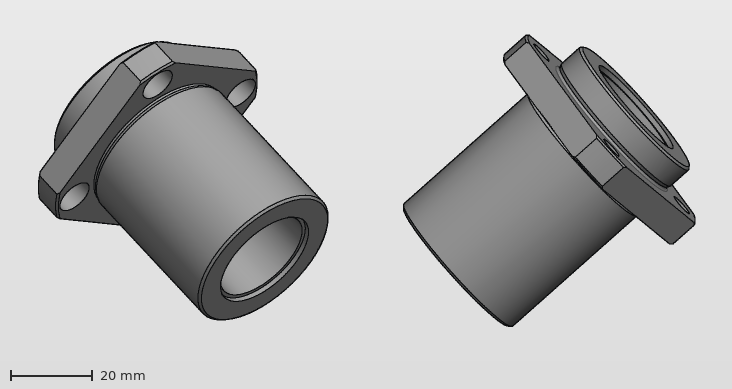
import cadquery as cq
import math

length = 59.0
body_radius = 40.0 / 2
end_chamfer = 0.6
bore_diameter = 25.0
bore_recess_diameter = 27.0
bore_recess_depth = 1.3

flange_start = 8.05
flange_thickness = 8.0
flange_end = flange_start + flange_thickness
flange_diameter = 61.9
flange_across_flats = 50.15
flange_chamfer = 0.5

groove_depth = 0.4
groove_floor_width = 0.7
groove_slope_width = 0.85
root_fillet = groove_floor_width
groove_width = groove_floor_width + groove_slope_width

hole_count = 4
hole_circle_radius = 25.5
hole_diameter = 5.5
counterbore_diameter = 9.0
counterbore_depth = 5.1


def cylinder(diameter, start, depth):
    """Cylinder along +X, centred on the X axis."""
    return cq.Workplane("YZ", origin=(start, 0, 0)).circle(diameter / 2).extrude(depth)


def make_body():
    floor_radius = body_radius - groove_depth
    profile = (
        cq.Workplane("XY")
        .moveTo(0, 0)
        .lineTo(0, body_radius - end_chamfer)
        .lineTo(end_chamfer, body_radius)
        .lineTo(flange_start - groove_width, body_radius)
        .lineTo(flange_start - groove_floor_width, floor_radius)
        .radiusArc((flange_start, floor_radius + root_fillet), -root_fillet)
        .lineTo(flange_end, floor_radius)
        .lineTo(flange_end + groove_floor_width, floor_radius)
        .lineTo(flange_end + groove_width, body_radius)
        .lineTo(length - end_chamfer, body_radius)
        .lineTo(length, body_radius - end_chamfer)
        .lineTo(length, 0)
        .close()
    )
    return profile.revolve(360, (0, 0, 0), (1, 0, 0))


def make_flange():
    disc = cylinder(flange_diameter, flange_start, flange_thickness).edges().chamfer(flange_chamfer)
    square = (
        cq.Workplane("YZ", origin=(flange_start, 0, 0))
        .transformed(rotate=(0, 0, 45))
        .rect(flange_across_flats, flange_across_flats)
        .extrude(flange_thickness)
    )
    return disc.intersect(square)


def make_screw_hole(angle):
    y = hole_circle_radius * math.cos(angle)
    z = hole_circle_radius * math.sin(angle)
    through_hole = cylinder(hole_diameter, flange_start, flange_thickness)
    counterbore = cylinder(counterbore_diameter, flange_end - counterbore_depth, counterbore_depth)
    return through_hole.union(counterbore).translate((0, y, z))


flange = make_flange()
for index in range(hole_count):
    flange = flange.cut(make_screw_hole(index * 2 * math.pi / hole_count))

result = make_body().union(flange)

result = result.cut(cylinder(bore_diameter, 0, length))
for recess_start in (0, length - bore_recess_depth):
    result = result.cut(cylinder(bore_recess_diameter, recess_start, bore_recess_depth))